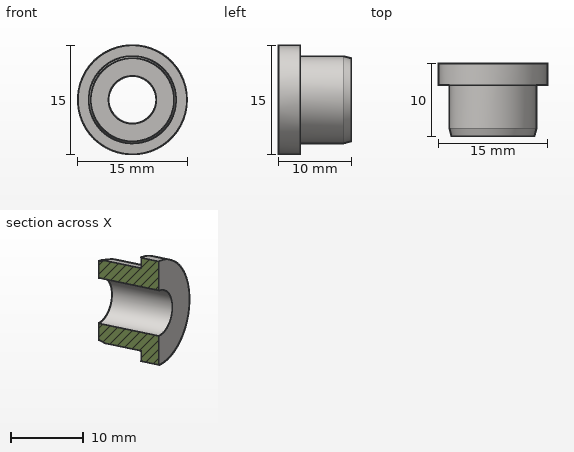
import math

import cadquery as cq

flange_diameter = 15.0
flange_thickness = 3.0
body_diameter = 12.0
bore_diameter = 6.5
total_length = 10.0

taper_depth = 0.3
taper_angle = 15.0
taper_length = taper_depth / math.tan(math.radians(taper_angle))

flange_radius = flange_diameter / 2
body_radius = body_diameter / 2
bore_radius = bore_diameter / 2
tip_radius = body_radius - taper_depth
shoulder_y = total_length - flange_thickness


def make_bushing():
    """Revolve the half section of the flanged bushing about the Y axis."""
    half_section = [
        (bore_radius, 0),
        (tip_radius, 0),
        (body_radius, taper_length),
        (body_radius, shoulder_y),
        (flange_radius, shoulder_y),
        (flange_radius, total_length),
        (bore_radius, total_length),
    ]
    axis_start = (0, 0)
    axis_end = (0, 1)
    return (
        cq.Workplane("XY")
        .polyline(half_section)
        .close()
        .revolve(360, axis_start, axis_end)
    )


result = make_bushing()